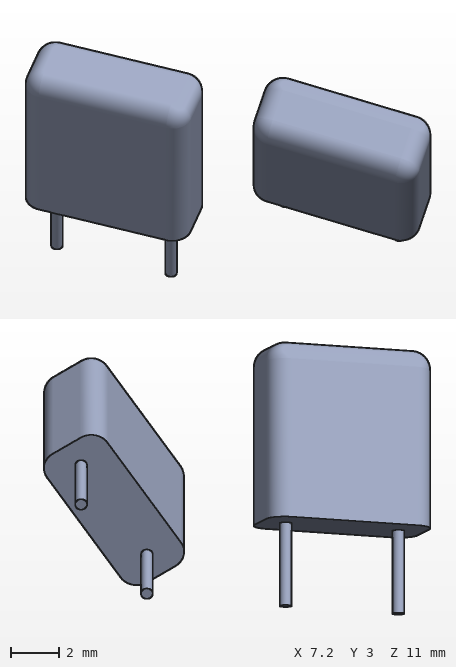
import cadquery as cq

total_height = 11.0
case_width = 7.2
case_depth = 3.0
case_height = 7.5
edge_radius = 0.8

lead_diameter = 0.5
lead_pitch = 5.0
lead_length = total_height - case_height


def make_case():
    """Box with rounded upright and top edges; its flat underside lies at Z = 0."""
    box = cq.Workplane("XY").box(case_width, case_depth, case_height, centered=(True, True, False))
    return box.edges("|Z or >Z").fillet(edge_radius)


def make_lead(x_position):
    """Straight round lead hanging down from the underside of the case."""
    return cq.Workplane("XY").center(x_position, 0).circle(lead_diameter / 2).extrude(-lead_length)


case = make_case()

leads = []
for side in (-1, 1):
    leads.append(make_lead(side * lead_pitch / 2).val())

result = cq.Compound.makeCompound([case.val(), *leads])